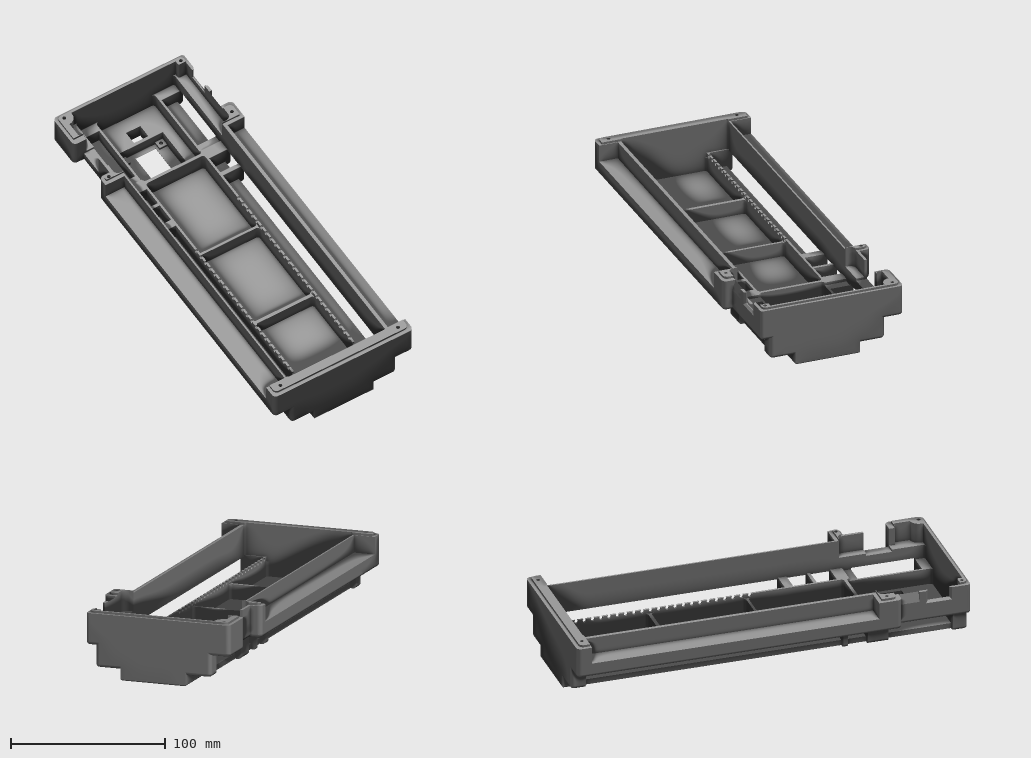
import cadquery as cq

LENGTH = 270.0
WIDTH = 106.0
RIM_TOP = 43.0
LIP_TOP = 44.5

BASE_WIDTH = 45.0
BASE_CHAMFER = 0.8
MID_WIDTH = 80.0
MID_BOTTOM = 7.5
MID_CORNER_RADIUS = 2.5
UPPER_BOTTOM = 22.0
UPPER_CORNER_RADIUS = 3.0
EDGE_RADIUS = 2.0
TIER_OVERLAP = 5.0

FRONT_BLOCK_END = 25.8
FRONT_POST_START = 56.8
FRONT_RECESS_Y = -45.2
BACK_POST_START = 48.8
BACK_RECESS_Y = 46.5
BACK_CORNER_RADIUS = 2.0

END_WALL = 3.4
CAVITY_END = 261.2
CAVITY_HALF_WIDTH = 37.6
MAIN_WALL_TOP = 23.0
LEFT_WALL_TOP = 21.0
LEFT_LEVEL_END = 59.8
CAVITY_CORNER_RADIUS = 1.5

BAY_HALF_WIDTH = 22.3
BAY_WALL = 1.5
BAY_FLOOR = 10.0
BAY_CORNER_RADIUS = 2.0
LEFT_BAY_END = 61.9
DIVIDER_TOP = 20.0
BAYS = [(64.0, 128.9), (130.6, 194.9), (197.2, CAVITY_END)]

SHELF_TOP = 11.2
SHELF_HALF_WIDTH = 36.0
WINDOW_END = 260.0
FRONT_WINDOWS = [(10.0, 53.8), (68.0, 81.6), (83.8, 97.6), (103.4, WINDOW_END)]
BACK_WINDOWS = [(10.0, 53.8), (68.0, 81.6), (84.7, WINDOW_END)]

WIRE_NOTCH_DIAMETER = 2.5
WIRE_NOTCH_Z = 22.0
WIRE_NOTCH_PITCH = 5.625
LAST_WIRE_NOTCH_X = 257.0
FRONT_WIRE_NOTCH_COUNT = 24
BACK_WIRE_NOTCH_COUNT = 28

LEDGE_TOP = 30.7
LEDGE_END = 61.7
FRONT_LEDGE_Y = -43.4
BACK_LEDGE_Y = 44.5
LEDGE_CORNER_RADIUS = 4.0
BLOCK_CAVITY = (8.6, 21.9)
BLOCK_CAVITY_Y = -46.7
CORNER_BOSS_RADIUS = 6.0
BACK_BOSS_X = (0.0, 6.9)
BACK_BOSS_Y = (38.6, BACK_RECESS_Y)
BOSS_CORNER_RADIUS = 1.0

FRONT_OPENING_END = 43.3
FRONT_OPENING_FLOOR = 29.1
BACK_OPENING = (14.2, 29.0)
BACK_OPENING_FLARE = 1.4
BACK_OPENING_FLOOR = 35.6
BACK_TAB_END = 35.0
BACK_SLOPE_TOP = 42.6
BACK_SLOPE_BOTTOM = 36.0

TRAY_START = 64.5
TRAY_FLOOR = 31.4
FRONT_TRAY_WALL_Y = -38.7
BACK_TRAY_WALL_Y = 40.0

LIP_INSET = 1.7
LIP_CORNER_RADIUS = 3.0
LIP_SIDE_INSET = 2.2
LIP_POST_END = 62.0
LIP_FRONT_POST_START = 58.4
LIP_BACK_POST_START = 51.9
LIP_BLOCK_END = 22.0
LIP_RIGHT = (260.6, 267.5)

LID_HOLE_DIAMETER = 2.5
LID_HOLE_DEPTH = 10.0
FRONT_BLOCK_HOLE = (4.6, -47.0)
LID_HOLES = [
    FRONT_BLOCK_HOLE,
    (60.5, -48.0),
    (264.3, -44.8),
    (264.3, 44.8),
    (57.6, 47.6),
    (4.7, 41.8),
]

DISPLAY_X = (25.4, LEFT_BAY_END)
DISPLAY_Y = (-19.2, 15.1)
DISPLAY_FLOOR = 1.5
DISPLAY_WINDOW_X = (28.6, 58.8)
DISPLAY_WINDOW_Y = (-7.8, 7.6)
DISPLAY_BEVEL = 1.2
POST_SIZE = 5.7
POST_TOP = 3.5
POST_HOLE_DIAMETER = 2.8
POST_HOLES_X = (28.2, 58.2)
POST_HOLES_Y = (-16.1, 12.0)
SOCKET_X = (13.4, 23.1)
SOCKET_Y = (-5.4, 5.4)


def box(x_range, y_range, z_range):
    """Axis-aligned block between two limits on each axis."""
    size = [high - low for low, high in (x_range, y_range, z_range)]
    corner = (x_range[0], y_range[0], z_range[0])
    return cq.Workplane("XY").box(*size, centered=False).translate(corner)


def rounded_box(x_range, y_range, z_range, radius):
    return box(x_range, y_range, z_range).edges("|Z").fillet(radius)


def side_span(side, inner, outer):
    """Y limits, low first, of a band between two distances from the centre plane."""
    return tuple(sorted((side * inner, side * outer)))


def upper_outline():
    half = WIDTH / 2
    return [
        (0, -half),
        (FRONT_BLOCK_END, -half),
        (FRONT_BLOCK_END, FRONT_RECESS_Y),
        (FRONT_POST_START, FRONT_RECESS_Y),
        (FRONT_POST_START, -half),
        (LENGTH, -half),
        (LENGTH, half),
        (BACK_POST_START, half),
        (BACK_POST_START, BACK_RECESS_Y),
        (0, BACK_RECESS_Y),
    ]


def near_side(y):
    """Selector for what lies on one of the outermost side planes."""
    return cq.selectors.BoxSelector((-1, y - 1, 0), (LENGTH + 1, y + 1, RIM_TOP))


def make_body():
    """The three solid tiers; each lower tier reaches up into the next one."""
    half = WIDTH / 2
    upper = cq.Workplane("XY").workplane(offset=UPPER_BOTTOM)
    upper = upper.polyline(upper_outline()).close().extrude(RIM_TOP - UPPER_BOTTOM)
    outer_corners = near_side(half) + near_side(-half)
    vertical = cq.selectors.ParallelDirSelector(cq.Vector(0, 0, 1))
    upper = upper.edges(outer_corners & vertical).fillet(UPPER_CORNER_RADIUS)
    back_corner = cq.selectors.NearestToPointSelector((0, BACK_RECESS_Y, (UPPER_BOTTOM + RIM_TOP) / 2))
    upper = upper.edges(back_corner).fillet(BACK_CORNER_RADIUS)
    upper = upper.faces("<Z").edges().fillet(EDGE_RADIUS)

    length = (0, LENGTH)
    middle = rounded_box(
        length,
        (-MID_WIDTH / 2, MID_WIDTH / 2),
        (MID_BOTTOM, UPPER_BOTTOM + TIER_OVERLAP),
        MID_CORNER_RADIUS,
    )
    middle = middle.faces("<Z").edges().fillet(EDGE_RADIUS)
    base = box(length, (-BASE_WIDTH / 2, BASE_WIDTH / 2), (0, MID_BOTTOM + TIER_OVERLAP))
    base = base.faces("<Z").edges().chamfer(BASE_CHAMFER)
    return upper.union(middle).union(base)


def make_lip():
    """Raised lid seats, before the cavities are cut through them."""
    span = (RIM_TOP - 1, LIP_TOP)
    low_y = -WIDTH / 2 + LIP_SIDE_INSET
    high_y = WIDTH / 2 - LIP_SIDE_INSET
    left = box((LIP_INSET, LIP_BLOCK_END), (low_y, BACK_LEDGE_Y), span)
    left = left.edges("|Z and <X").fillet(LIP_CORNER_RADIUS)
    front_post = box((LIP_FRONT_POST_START, LIP_POST_END), (low_y, -CAVITY_HALF_WIDTH), span)
    front_post = front_post.edges("|Z and <X and <Y").fillet(LIP_INSET)
    back_post = box((LIP_BACK_POST_START, LIP_POST_END), (CAVITY_HALF_WIDTH, high_y), span)
    back_post = back_post.edges("|Z and <X and >Y").fillet(LIP_CORNER_RADIUS)
    right = box(LIP_RIGHT, (low_y, high_y), span)
    right = right.edges("|Z and >X").fillet(LIP_CORNER_RADIUS)
    return left.union(front_post).union(back_post).union(right)


def make_main_cavity():
    """Open space above the compartment walls, one level lower at the left end."""
    width = (-CAVITY_HALF_WIDTH, CAVITY_HALF_WIDTH)
    main = rounded_box((END_WALL, CAVITY_END), width, (MAIN_WALL_TOP, LIP_TOP), CAVITY_CORNER_RADIUS)
    left = box((END_WALL, LEFT_LEVEL_END), width, (LEFT_WALL_TOP, MAIN_WALL_TOP))
    left = left.edges("|Z and <X").fillet(CAVITY_CORNER_RADIUS)
    return main.union(left)


def make_bays():
    """Pockets of the left compartment and of the three long ones."""
    width = (-BAY_HALF_WIDTH, BAY_HALF_WIDTH)
    pockets = box((BAYS[0][0] + BAY_CORNER_RADIUS, CAVITY_END), width, (DIVIDER_TOP, MAIN_WALL_TOP))
    for span in [(END_WALL, LEFT_BAY_END)] + BAYS:
        pockets = pockets.union(rounded_box(span, width, (BAY_FLOOR, MAIN_WALL_TOP), BAY_CORNER_RADIUS))
    return pockets


def cut_windows(body, side, windows):
    """Side windows: open above the shelf, and open downwards beyond the shelf edge."""
    outside = MID_WIDTH / 2 + 1
    for span in windows:
        above_shelf = side_span(side, BAY_HALF_WIDTH + BAY_WALL, outside)
        body = body.cut(box(span, above_shelf, (SHELF_TOP, UPPER_BOTTOM)))
        above_inside = side_span(side, BAY_HALF_WIDTH + BAY_WALL, CAVITY_HALF_WIDTH)
        body = body.cut(box(span, above_inside, (SHELF_TOP, MAIN_WALL_TOP)))
        beyond_shelf = side_span(side, SHELF_HALF_WIDTH, outside)
        body = body.cut(box(span, beyond_shelf, (0, UPPER_BOTTOM)))
    return body


def make_wire_notches(side, count):
    """Row of round notches, open at the top, across one compartment wall."""
    low_y, high_y = side_span(side, BAY_HALF_WIDTH, BAY_HALF_WIDTH + BAY_WALL)
    centres = [(LAST_WIRE_NOTCH_X - index * WIRE_NOTCH_PITCH, WIRE_NOTCH_Z) for index in range(count)]
    notches = cq.Workplane("XZ", origin=(0, high_y, 0)).pushPoints(centres)
    return notches.circle(WIRE_NOTCH_DIAMETER / 2).extrude(high_y - low_y)


def cut_ledges(body):
    """Shelves beside the main cavity at the left end, and the pocket of the front corner block."""
    height = (LEDGE_TOP, LIP_TOP)
    front = box((END_WALL, LEDGE_END), (FRONT_LEDGE_Y, 0), height)
    front = front.edges("|Z and >X and <Y").fillet(LEDGE_CORNER_RADIUS)
    front = front.union(rounded_box(BLOCK_CAVITY, (BLOCK_CAVITY_Y, 0), height, BOSS_CORNER_RADIUS))
    back = box((END_WALL, LEDGE_END), (0, BACK_LEDGE_Y), height)
    back = back.edges("|Z and >X and >Y").fillet(LEDGE_CORNER_RADIUS)
    ledges = front.union(back)
    bosses = cq.Workplane("XY").workplane(offset=LEDGE_TOP)
    bosses = bosses.pushPoints([FRONT_BLOCK_HOLE]).circle(CORNER_BOSS_RADIUS).extrude(LIP_TOP - LEDGE_TOP)
    bosses = bosses.union(rounded_box(BACK_BOSS_X, BACK_BOSS_Y, height, BOSS_CORNER_RADIUS))
    return body.cut(ledges.cut(bosses))


def cut_wall_openings(body):
    """Openings in the side walls of the ledges, and the sloped part of the back wall."""
    front = box(
        (FRONT_BLOCK_END, FRONT_OPENING_END),
        (FRONT_RECESS_Y, -CAVITY_HALF_WIDTH),
        (FRONT_OPENING_FLOOR, RIM_TOP),
    )
    start, end = BACK_OPENING
    flare = BACK_OPENING_FLARE
    back = box(BACK_OPENING, (BACK_LEDGE_Y, BACK_RECESS_Y), (BACK_OPENING_FLOOR, RIM_TOP))
    inner_edge = BACK_RECESS_Y - flare
    flared = cq.Workplane("XZ", origin=(0, inner_edge, 0))
    flared = flared.moveTo(start, RIM_TOP).lineTo(start, BACK_OPENING_FLOOR)
    flared = flared.lineTo(end, BACK_OPENING_FLOOR).lineTo(end, RIM_TOP).close()
    flared = flared.workplane(offset=-flare)
    flared = flared.moveTo(start - flare, RIM_TOP).lineTo(start - flare, BACK_OPENING_FLOOR - flare)
    flared = flared.lineTo(end + flare, BACK_OPENING_FLOOR - flare).lineTo(end + flare, RIM_TOP).close()
    flared = flared.loft(ruled=True)
    slope_profile = [
        (BACK_LEDGE_Y, RIM_TOP),
        (BACK_LEDGE_Y, BACK_SLOPE_TOP),
        (BACK_RECESS_Y, BACK_SLOPE_BOTTOM),
        (BACK_RECESS_Y, RIM_TOP),
    ]
    slope = cq.Workplane("YZ").workplane(offset=BACK_TAB_END).polyline(slope_profile).close()
    slope = slope.extrude(BACK_POST_START - BACK_TAB_END)
    return body.cut(front).cut(back).cut(flared).cut(slope)


def cut_trays(body):
    """Long shelves open to the sides."""
    span = (TRAY_START, WINDOW_END)
    height = (TRAY_FLOOR, RIM_TOP)
    front = box(span, (-WIDTH / 2, FRONT_TRAY_WALL_Y), height)
    back = box(span, (BACK_TRAY_WALL_Y, WIDTH / 2), height)
    return body.cut(front).cut(back)


def window_bevel(window):
    """Flare that widens the display window towards the underside."""
    centre = window.val().Center()
    width = DISPLAY_WINDOW_X[1] - DISPLAY_WINDOW_X[0]
    height = DISPLAY_WINDOW_Y[1] - DISPLAY_WINDOW_Y[0]
    wide = cq.Workplane("XY", origin=(centre.x, centre.y, 0))
    wide = wide.rect(width + 2 * DISPLAY_BEVEL, height + 2 * DISPLAY_BEVEL)
    return wide.workplane(offset=DISPLAY_BEVEL).rect(width, height).loft(ruled=True)


def add_display_pocket(body):
    """Deep pocket with four screw posts, its window, and the small socket opening."""
    body = body.cut(box(DISPLAY_X, DISPLAY_Y, (DISPLAY_FLOOR, BAY_FLOOR)))
    pocket = box(DISPLAY_X, DISPLAY_Y, (DISPLAY_FLOOR, POST_TOP))
    centres = [(x, y) for x in POST_HOLES_X for y in POST_HOLES_Y]
    height = POST_TOP - DISPLAY_FLOOR
    posts = cq.Workplane("XY").workplane(offset=DISPLAY_FLOOR).pushPoints(centres)
    posts = posts.rect(POST_SIZE, POST_SIZE).extrude(height).intersect(pocket)
    holes = cq.Workplane("XY").workplane(offset=DISPLAY_FLOOR).pushPoints(centres)
    holes = holes.circle(POST_HOLE_DIAMETER / 2).extrude(height)
    body = body.union(posts).cut(holes)
    window = box(DISPLAY_WINDOW_X, DISPLAY_WINDOW_Y, (0, DISPLAY_FLOOR))
    body = body.cut(window).cut(window_bevel(window))
    return body.cut(box(SOCKET_X, SOCKET_Y, (0, BAY_FLOOR)))


def cut_lid_holes(body):
    holes = cq.Workplane("XY").workplane(offset=LIP_TOP - LID_HOLE_DEPTH).pushPoints(LID_HOLES)
    return body.cut(holes.circle(LID_HOLE_DIAMETER / 2).extrude(LID_HOLE_DEPTH))


body = make_body().union(make_lip())
body = body.cut(make_main_cavity()).cut(make_bays())
body = cut_windows(body, -1, FRONT_WINDOWS)
body = cut_windows(body, 1, BACK_WINDOWS)
body = body.cut(make_wire_notches(-1, FRONT_WIRE_NOTCH_COUNT))
body = body.cut(make_wire_notches(1, BACK_WIRE_NOTCH_COUNT))
body = cut_ledges(body)
body = cut_wall_openings(body)
body = cut_trays(body)
body = add_display_pocket(body)
result = cut_lid_holes(body)